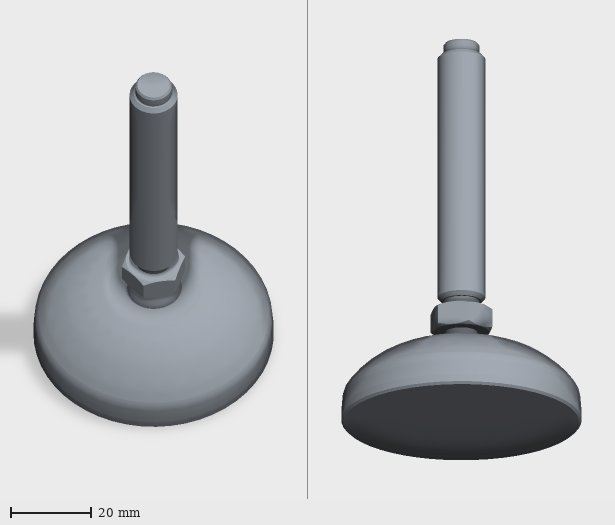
import cadquery as cq
import math

OUTER_RADIUS = 30.0
PAD_HEIGHT = 2.5
PAD_CHAMFER = 0.6

SKIRT_TOP_Z = 6.0
SKIRT_TOP_RADIUS = 29.7
DOME_FOOT_Z = 8.8
DOME_FOOT_RADIUS = 28.8
SHOULDER_RADIUS = 4.8
DOME_RADIUS = 25.9
DOME_RIM_Z = 18.8
DOME_RIM_RADIUS = 13.1
BASE_TOP_Z = 19.0
BASE_FLAT_RADIUS = 12.0
RIM_ROUNDING = 5.3
MOUTH_DIAMETER = 14.2
MOUTH_THROAT_DIAMETER = 13.3

BALL_DIAMETER = 14.2
LOWER_NECK_DIAMETER = 8.1
LOWER_NECK_Z = 21.8
HEX_BOTTOM_Z = 23.6
HEX_HEIGHT = 6.1
HEX_FLATS = 14.0
HEX_FACE_DIAMETER = 13.8
HEX_CHAMFER_ANGLE = 30
HEX_TURN = 30
UPPER_NECK_DIAMETER = 9.0
STUD_BOTTOM_Z = 31.8
STUD_DIAMETER = 12.0
STUD_CHAMFER = 1.0
TIP_DIAMETER = 9.0
TIP_HEIGHT = 3.0
TIP_CHAMFER_WIDTH = 0.45
TIP_CHAMFER_HEIGHT = 0.6
TOTAL_HEIGHT = 99.7

ball_radius = BALL_DIAMETER / 2
ball_center_z = LOWER_NECK_Z - math.sqrt(ball_radius**2 - (LOWER_NECK_DIAMETER / 2)**2)


def cylinder(diameter, bottom_z, top_z):
    return cq.Workplane("XY").workplane(offset=bottom_z).circle(diameter / 2).extrude(top_z - bottom_z)


def make_ball():
    """Sphere on the center of the joint, also used to cut its seat."""
    return cq.Workplane("XY").sphere(ball_radius).translate((0, 0, ball_center_z))


def outward_arc_middle(start, end, radius):
    """Middle point of the arc from start to end (going inward and up) that bulges outward."""
    run = end[0] - start[0]
    rise = end[1] - start[1]
    chord = math.hypot(run, rise)
    bulge = radius - math.sqrt(radius**2 - (chord / 2)**2)
    return (
        (start[0] + end[0]) / 2 + bulge * rise / chord,
        (start[1] + end[1]) / 2 - bulge * run / chord,
    )


def make_pad():
    return cylinder(2 * OUTER_RADIUS, 0, PAD_HEIGHT).faces("<Z").edges().chamfer(PAD_CHAMFER)


def make_base():
    skirt_top = (SKIRT_TOP_RADIUS, SKIRT_TOP_Z)
    dome_foot = (DOME_FOOT_RADIUS, DOME_FOOT_Z)
    dome_rim = (DOME_RIM_RADIUS, DOME_RIM_Z)
    flat_edge = (BASE_FLAT_RADIUS, BASE_TOP_Z)
    dome = (
        cq.Workplane("XZ")
        .moveTo(0, PAD_HEIGHT)
        .lineTo(OUTER_RADIUS, PAD_HEIGHT)
        .lineTo(*skirt_top)
        .threePointArc(outward_arc_middle(skirt_top, dome_foot, SHOULDER_RADIUS), dome_foot)
        .threePointArc(outward_arc_middle(dome_foot, dome_rim, DOME_RADIUS), dome_rim)
        .threePointArc(outward_arc_middle(dome_rim, flat_edge, RIM_ROUNDING), flat_edge)
        .lineTo(0, BASE_TOP_Z)
        .close()
        .revolve(360, (0, 0, 0), (0, 1, 0))
    )
    countersink_depth = (MOUTH_DIAMETER - MOUTH_THROAT_DIAMETER) / 2
    mouth = cq.Solid.makeCone(
        MOUTH_THROAT_DIAMETER / 2,
        MOUTH_DIAMETER / 2,
        countersink_depth,
        pnt=cq.Vector(0, 0, BASE_TOP_Z - countersink_depth),
    )
    return dome.cut(make_ball()).cut(cq.Workplane(mouth))


def make_hexagon():
    """Hexagon with two corners on the Y axis, its corners chamfered at both ends."""
    corner_radius = HEX_FLATS / math.sqrt(3)
    face_radius = HEX_FACE_DIAMETER / 2
    chamfer_drop = (corner_radius - face_radius) * math.tan(math.radians(HEX_CHAMFER_ANGLE))
    prism = (
        cq.Workplane("XY")
        .polygon(6, 2 * corner_radius)
        .extrude(HEX_HEIGHT)
        .rotate((0, 0, 0), (0, 0, 1), HEX_TURN)
    )
    chamfer_envelope = (
        cq.Workplane("XZ")
        .polyline([
            (0, 0),
            (face_radius, 0),
            (corner_radius, chamfer_drop),
            (corner_radius, HEX_HEIGHT - chamfer_drop),
            (face_radius, HEX_HEIGHT),
            (0, HEX_HEIGHT),
        ])
        .close()
        .revolve(360, (0, 0, 0), (0, 1, 0))
    )
    return prism.intersect(chamfer_envelope).translate((0, 0, HEX_BOTTOM_Z))


def make_stem():
    hex_top_z = HEX_BOTTOM_Z + HEX_HEIGHT
    stud_top_z = TOTAL_HEIGHT - TIP_HEIGHT
    lower_neck = cylinder(LOWER_NECK_DIAMETER, ball_center_z, HEX_BOTTOM_Z)
    upper_neck = cylinder(UPPER_NECK_DIAMETER, hex_top_z, STUD_BOTTOM_Z)
    stud = cylinder(STUD_DIAMETER, STUD_BOTTOM_Z, stud_top_z).faces("|Z").edges().chamfer(STUD_CHAMFER)
    tip = (
        cylinder(TIP_DIAMETER, stud_top_z, TOTAL_HEIGHT)
        .faces(">Z")
        .edges()
        .chamfer(TIP_CHAMFER_HEIGHT, TIP_CHAMFER_WIDTH)
    )
    stem = make_ball()
    for section in (lower_neck, make_hexagon(), upper_neck, stud, tip):
        stem = stem.union(section)
    return stem


pad = make_pad()
base = make_base()
stem = make_stem()

result = cq.Compound.makeCompound([pad.val(), base.val(), stem.val()])